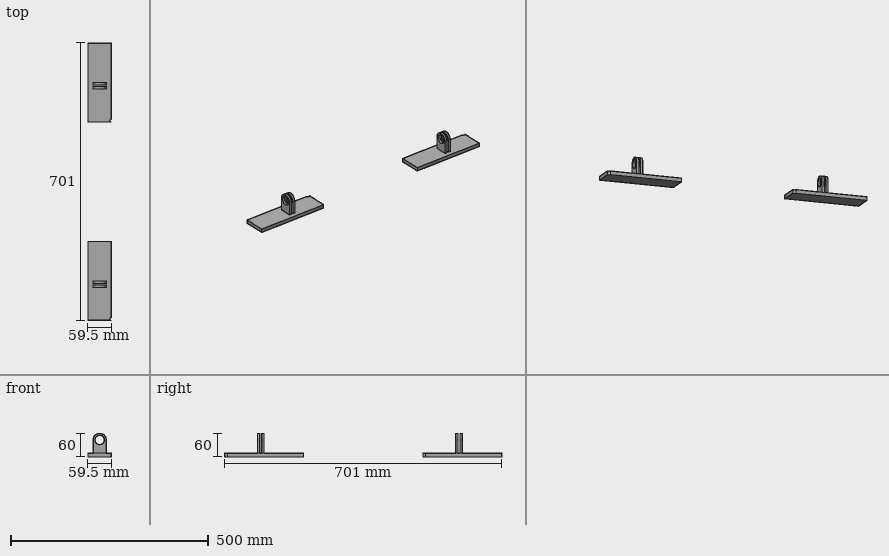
import cadquery as cq

total_length = 701.0
plate_length = 200.0
plate_width = 59.5
plate_thickness = 10.0
notch_radius = 3.85
notch_offset = 3.5

total_height = 60.0
lug_width = 33.5
lug_thickness = 6.0
lug_gap = 4.0
hole_diameter = 23.0
lug_radius = lug_width / 2
hole_height = total_height - lug_radius

lug_pitch = lug_thickness + lug_gap
bracket_spacing = total_length - plate_length


def make_plate():
    """Flat plate, centred in X and Y, with a round notch taking off its front +X corner."""
    plate = cq.Workplane("XY").box(
        plate_width, plate_length, plate_thickness, centered=(True, True, False)
    )
    notch = (
        cq.Workplane("XY")
        .center(plate_width / 2, notch_offset - plate_length / 2)
        .circle(notch_radius)
        .extrude(plate_thickness)
    )
    return plate.cut(notch)


def make_lug(rear_y):
    """Upright lug with a round top and a cross hole, extending from rear_y toward -Y."""
    return (
        cq.Workplane("XZ", origin=(0, rear_y, 0))
        .moveTo(-lug_radius, plate_thickness)
        .lineTo(lug_radius, plate_thickness)
        .lineTo(lug_radius, hole_height)
        .threePointArc((0, total_height), (-lug_radius, hole_height))
        .close()
        .moveTo(0, hole_height)
        .circle(hole_diameter / 2)
        .extrude(lug_thickness)
    )


def make_bracket(center_y):
    """Plate and its two lugs as one solid."""
    bracket = make_plate()
    for index in range(2):
        bracket = bracket.union(make_lug(-index * lug_pitch))
    return bracket.translate((0, center_y, 0))


brackets = [make_bracket(side * bracket_spacing / 2) for side in (-1, 1)]

result = cq.Compound.makeCompound([bracket.val() for bracket in brackets])